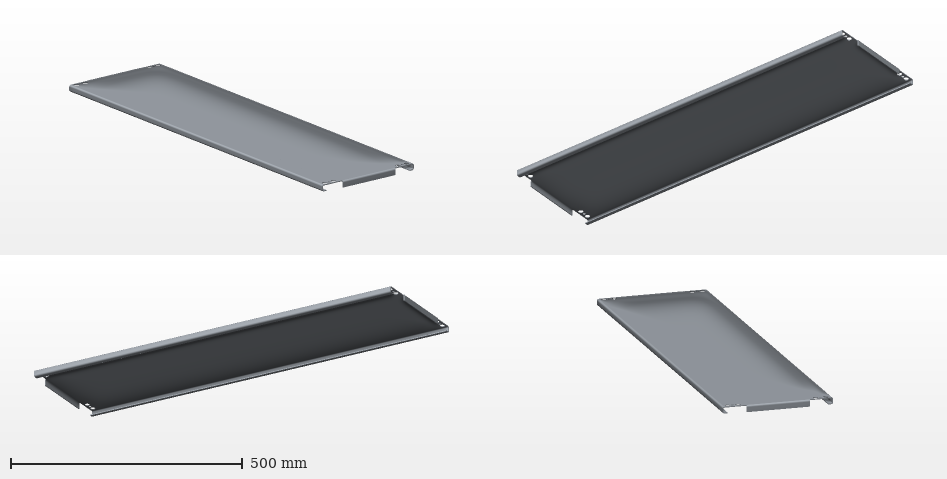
import cadquery as cq

length = 899.0
width = 250.0
height = 15.0

sheet = 2.0
bend_radius = 4.05
lip_reach = 11.0
end_flange_width = 144.0

hole_diameter = 12.0
pilot_diameter = 6.0
hole_end_distance = 8.5
first_hole_distance = 13.5
hole_pitch = 12.0

panel_length = length - 2 * bend_radius
inner_radius = bend_radius - sheet
cut_depth = 2 * sheet


def rounded_block(size_x, size_y, size_z, top_z, radius, edges):
    """Centred block hanging from top_z, with the selected edges rounded."""
    block = cq.Workplane("XY").box(size_x, size_y, size_z, centered=(True, True, False))
    return block.translate((0, 0, top_z - size_z)).edges(edges).fillet(radius)


def make_side_channel():
    """Panel with both long sides folded down and under."""
    outer = rounded_block(panel_length, width, height, height, bend_radius, "|X")
    inner = rounded_block(
        panel_length, width - 2 * sheet, height - 2 * sheet, height - sheet, inner_radius, "|X"
    )
    lip_gap = cq.Workplane("XY").box(
        panel_length, width - 2 * lip_reach, height - sheet, centered=(True, True, False)
    )
    return outer.cut(inner).cut(lip_gap)


def make_end_flanges():
    """Plain flanges folded down at both ends, joined through the panel sheet."""
    outer = rounded_block(length, end_flange_width, height, height, bend_radius, "|Y and >Z")
    inner = rounded_block(
        length - 2 * sheet, end_flange_width, height - sheet, height - sheet, inner_radius, "|Y and >Z"
    )
    return outer.cut(inner)


def drill_corner_holes(body):
    """Drill a small hole between two larger ones through the panel at each corner."""
    hole_x = panel_length / 2 - hole_end_distance
    for index, diameter in enumerate((hole_diameter, pilot_diameter, hole_diameter)):
        hole_y = width / 2 - first_hole_distance - index * hole_pitch
        drills = (
            cq.Workplane("XY", origin=(0, 0, height - cut_depth))
            .rect(2 * hole_x, 2 * hole_y, forConstruction=True)
            .vertices()
            .circle(diameter / 2)
            .extrude(2 * cut_depth)
        )
        body = body.cut(drills)
    return body


shelf = make_side_channel().union(make_end_flanges())
result = drill_corner_holes(shelf)